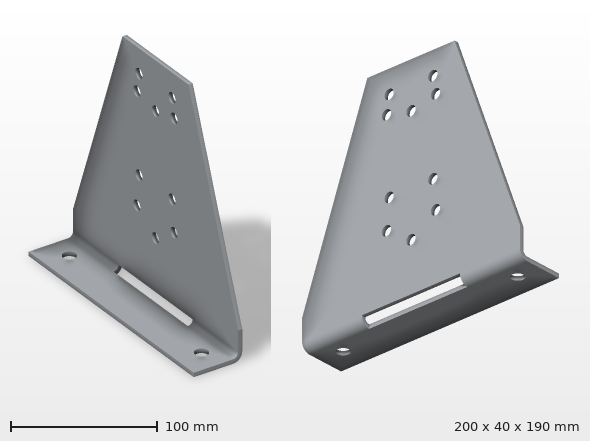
import cadquery as cq

width = 200.0
depth = 40.0
height = 190.0
thickness = 3.5

inner_bend_radius = 4.0
outer_bend_radius = inner_bend_radius + thickness
bend_slot_width = 90.0

top_width = 80.0
taper_start_height = 25.0

plate_hole_diameter = 8.5
hole_pair_rows = [(20.0, 170.0), (22.5, 155.0), (20.0, 90.0), (22.5, 65.0)]
center_hole_heights = [150.0, 50.0]

foot_hole_diameter = 10.5
foot_hole_spacing = 160.0
foot_hole_edge_distance = 20.0


def bent_sheet():
    """L-shaped sheet; the upright's back face is at Y = 0 and the foot reaches towards -Y."""
    profile = (
        cq.Workplane("YZ", origin=(-width / 2, 0, 0))
        .moveTo(-depth, 0)
        .lineTo(-outer_bend_radius, 0)
        .radiusArc((0, outer_bend_radius), -outer_bend_radius)
        .lineTo(0, height)
        .lineTo(-thickness, height)
        .lineTo(-thickness, outer_bend_radius)
        .radiusArc((-outer_bend_radius, thickness), inner_bend_radius)
        .lineTo(-depth, thickness)
        .close()
    )
    return profile.extrude(width)


def front_outline():
    """Prism along Y that tapers the upright plate towards its top edge."""
    return (
        cq.Workplane("XZ")
        .polyline([
            (-width / 2, 0),
            (width / 2, 0),
            (width / 2, taper_start_height),
            (top_width / 2, height),
            (-top_width / 2, height),
            (-width / 2, taper_start_height),
        ])
        .close()
        .extrude(depth)
    )


def bend_slot():
    """Block that removes the whole bend over the middle of the width."""
    return cq.Workplane("XY").box(
        bend_slot_width, outer_bend_radius, outer_bend_radius, centered=(True, False, False)
    ).translate((0, -outer_bend_radius, 0))


def plate_holes():
    """Cylinders along Y through the upright plate."""
    points = [(0, z) for z in center_hole_heights]
    for half_spacing, z in hole_pair_rows:
        points += [(-half_spacing, z), (half_spacing, z)]
    return cq.Workplane("XZ").pushPoints(points).circle(plate_hole_diameter / 2).extrude(thickness)


def foot_holes():
    """Cylinders along Z through the foot."""
    hole_y = -depth + foot_hole_edge_distance
    points = [(side * foot_hole_spacing / 2, hole_y) for side in (-1, 1)]
    return cq.Workplane("XY").pushPoints(points).circle(foot_hole_diameter / 2).extrude(thickness)


result = (
    bent_sheet()
    .intersect(front_outline())
    .cut(bend_slot())
    .cut(plate_holes())
    .cut(foot_holes())
)